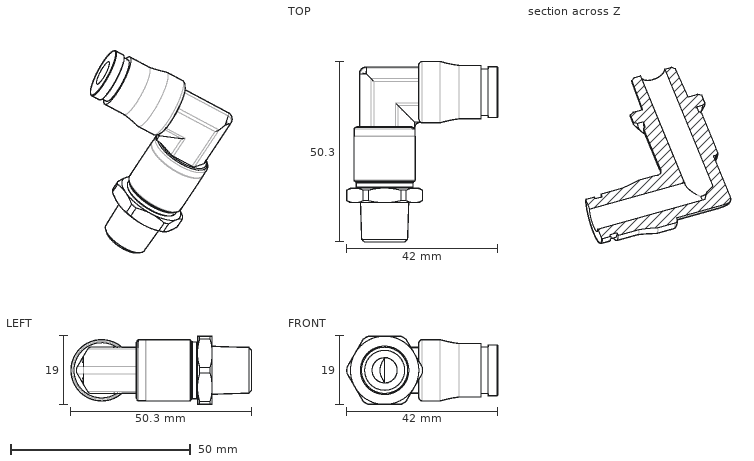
import cadquery as cq
import math


bore_radius = 3.5
drill_point_angle = 118
drill_point_depth = bore_radius / math.tan(math.radians(drill_point_angle / 2))

elbow_half_height = 6.42
elbow_flat_half_width = 3.47
elbow_edge_radius = 0.95
ridge_radius = 2.0
ridge_reach = 7.04
ridge_slope = math.radians(59.2)
inner_reach = 8.3
inner_half_height = 1.05
ridge_center = ridge_reach - ridge_radius
ridge_apex = ridge_center + ridge_radius / math.sin(ridge_slope)
outer_flat_half_width = ridge_apex - elbow_half_height / math.tan(ridge_slope)

web_reach = 8.45
web_corner_radius = 1.35
web_edge_radius = 0.3

lip_chamfer_depth = 0.27
lip_chamfer_width = 0.38
lip_round_drop = 0.5

sleeve_radius = 8.55
tube_sleeve_start = 9.39
tube_lip_length = 1.06
tube_taper_start = 15.44
tube_taper_end = 20.6
tube_taper_bow = 0.1
tube_body_radius = 7.47
tube_body_end = 26.8
tube_groove_radius = 6.5
release_ring_start = 28.77
release_ring_radius = 7.1
release_ring_chamfer = 0.2
tube_end = 31.45

swivel_start = 9.5
swivel_lip_length = 0.77
swivel_cap_radius = 8.5
swivel_cap_end = 12.18
swivel_body_start = 12.34
swivel_body_end = 24.4
swivel_edge_radius = 8.47
swivel_edge_end = 24.65
swivel_chamfer_radius = 8.05
swivel_chamfer_end = 24.95
neck_radius = 7.93
neck_start = 25.3
neck_chamfer = 0.3

hex_start = 26.65
hex_end = 30.73
hex_across_flats = 19.0
hex_corner_radius = 10.53
hex_face_radius = hex_across_flats / 2
hex_chamfer_angle = math.radians(30)
hex_chamfer_depth = (hex_corner_radius - hex_face_radius) * math.tan(hex_chamfer_angle)

thread_gauge_radius = 6.58
thread_gauge_position = 35.73
thread_chamfer_start = 40.9
thread_end = 41.7
thread_end_radius = 5.55
thread_radius_per_length = 1 / 32


def thread_radius(distance):
    return thread_gauge_radius - (distance - thread_gauge_position) * thread_radius_per_length


def turned(profile):
    """Close a (distance, radius) outline and revolve it around the X axis."""
    return profile.close().revolve(360, (0, 0, 0), (1, 0, 0))


def line_to_lip(profile, start, length, radius):
    """Finish a sleeve outline along its outside, around the lip and down to the axis."""
    return (
        profile.lineTo(start + length, radius)
        .tangentArcPoint((start + lip_chamfer_depth, radius - lip_round_drop), relative=False)
        .lineTo(start, radius - lip_round_drop - lip_chamfer_width)
        .lineTo(start, 0)
    )


def mirrored_across_bend(body):
    """Swap the thread arm and the tube arm; the bodies are symmetric about Z = 0."""
    return body.rotate((0, 0, 0), (1, -1, 0), 180)


def make_elbow_arm():
    section = [
        (-ridge_apex, 0),
        (-outer_flat_half_width, elbow_half_height),
        (elbow_flat_half_width, elbow_half_height),
        (inner_reach, inner_half_height),
        (inner_reach, -inner_half_height),
        (elbow_flat_half_width, -elbow_half_height),
        (-outer_flat_half_width, -elbow_half_height),
    ]
    arm_length = swivel_cap_end + ridge_apex
    arm = cq.Workplane("XZ", origin=(0, ridge_apex, 0)).polyline(section).close().extrude(arm_length)
    arm = arm.edges("|Y and <X").fillet(ridge_radius)
    arm = arm.faces(">Z or <Z").edges("|Y").fillet(elbow_edge_radius)

    far = 2 * swivel_cap_end
    beyond_miter = (
        cq.Workplane("XY", origin=(0, 0, -elbow_half_height))
        .polyline([(-far, far), (far, far), (far, -far)])
        .close()
        .extrude(2 * elbow_half_height)
    )
    return arm.cut(beyond_miter)


def round_outer_corner(elbow):
    """Replace the mitered tip by the ridge section swept a quarter turn around a vertical axis."""
    cone_height = ridge_radius / math.cos(ridge_slope)
    corner = (
        cq.Workplane("XY", origin=(-ridge_center, ridge_center, -elbow_half_height))
        .rect(-ridge_apex, ridge_apex, centered=False)
        .extrude(2 * elbow_half_height)
    )
    tangent_x = -ridge_radius * math.sin(ridge_slope)
    tangent_z = ridge_radius * math.cos(ridge_slope)
    nose = (
        cq.Workplane("XZ", origin=(-ridge_center, ridge_center, 0))
        .moveTo(0, cone_height)
        .lineTo(tangent_x, tangent_z)
        .threePointArc((-ridge_radius, 0), (tangent_x, -tangent_z))
        .lineTo(0, -cone_height)
        .close()
        .revolve(360, (0, 0, 0), (0, 1, 0))
    )
    return elbow.cut(corner).union(nose.intersect(corner))


def make_corner_web():
    far = web_reach + web_corner_radius
    arc_mid = far - web_corner_radius * math.sqrt(0.5)
    web = (
        cq.Workplane("XY", origin=(0, 0, -inner_half_height))
        .moveTo(0, 0)
        .lineTo(far, 0)
        .lineTo(far, -web_reach)
        .threePointArc((arc_mid, -arc_mid), (web_reach, -far))
        .lineTo(0, -far)
        .close()
        .extrude(2 * inner_half_height)
    )
    return web.edges("%CIRCLE").fillet(web_edge_radius)


def make_tube_sleeve():
    taper_mid = (
        (tube_taper_start + tube_taper_end) / 2,
        (sleeve_radius + tube_body_radius) / 2 - tube_taper_bow,
    )
    profile = (
        cq.Workplane("XY")
        .moveTo(tube_end, 0)
        .lineTo(tube_end, release_ring_radius - release_ring_chamfer)
        .lineTo(tube_end - release_ring_chamfer, release_ring_radius)
        .lineTo(release_ring_start, release_ring_radius)
        .lineTo(release_ring_start, tube_groove_radius)
        .lineTo(tube_body_end, tube_groove_radius)
        .lineTo(tube_body_end, tube_body_radius)
        .lineTo(tube_taper_end, tube_body_radius)
        .threePointArc(taper_mid, (tube_taper_start, sleeve_radius))
    )
    return turned(line_to_lip(profile, tube_sleeve_start, tube_lip_length, sleeve_radius))


def make_swivel_sleeve():
    profile = (
        cq.Workplane("XY")
        .moveTo(hex_start, 0)
        .lineTo(hex_start, neck_radius - neck_chamfer)
        .lineTo(hex_start - neck_chamfer, neck_radius)
        .lineTo(neck_start, neck_radius)
        .lineTo(swivel_chamfer_end, swivel_chamfer_radius)
        .lineTo(swivel_edge_end, swivel_edge_radius)
        .lineTo(swivel_body_end, sleeve_radius)
        .lineTo(swivel_body_start, sleeve_radius)
        .lineTo(swivel_cap_end, swivel_cap_radius)
    )
    return turned(line_to_lip(profile, swivel_start, swivel_lip_length, swivel_cap_radius))


def make_hex_nut():
    corner_diameter = hex_across_flats / math.cos(math.pi / 6)
    prism = (
        cq.Workplane("YZ", origin=(hex_start, 0, 0))
        .polygon(6, corner_diameter)
        .extrude(hex_end - hex_start)
    )
    chamfered_round = turned(
        cq.Workplane("XY").polyline([
            (hex_start, 0),
            (hex_start, hex_face_radius),
            (hex_start + hex_chamfer_depth, hex_corner_radius),
            (hex_end - hex_chamfer_depth, hex_corner_radius),
            (hex_end, hex_face_radius),
            (hex_end, 0),
        ])
    )
    return prism.intersect(chamfered_round)


def make_thread():
    return turned(
        cq.Workplane("XY").polyline([
            (hex_end, 0),
            (hex_end, thread_radius(hex_end)),
            (thread_chamfer_start, thread_radius(thread_chamfer_start)),
            (thread_end, thread_end_radius),
            (thread_end, 0),
        ])
    )


def make_bore(length):
    """Bore along X from the bend, closed at the bend by a drill point."""
    return turned(
        cq.Workplane("XY").polyline([
            (-drill_point_depth, 0),
            (0, bore_radius),
            (length, bore_radius),
            (length, 0),
        ])
    )


thread_arm = make_elbow_arm()
elbow = round_outer_corner(thread_arm.union(mirrored_across_bend(thread_arm)))
thread_side = make_swivel_sleeve().union(make_hex_nut()).union(make_thread())

result = (
    elbow.union(make_corner_web())
    .union(make_tube_sleeve())
    .union(mirrored_across_bend(thread_side))
    .cut(make_bore(tube_end))
    .cut(mirrored_across_bend(make_bore(thread_end)))
)